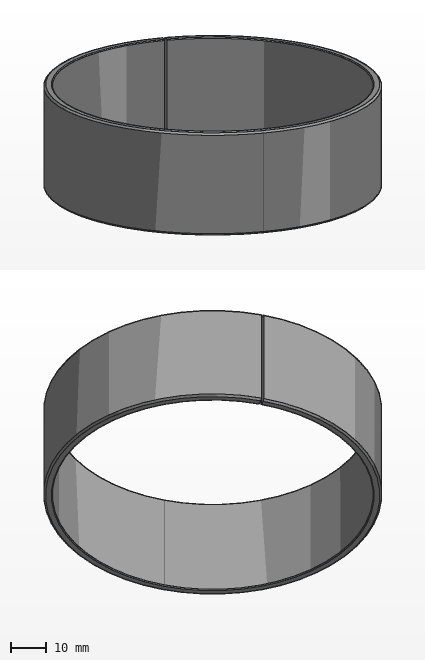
import cadquery as cq

outer_diameter = 95.0
wall = 2.5
width = 30.0
gap = 0.7
outer_chamfer = 0.6
inner_chamfer = 0.3

outer_radius = outer_diameter / 2
inner_radius = outer_radius - wall
half_width = width / 2

section = [
    (inner_radius + inner_chamfer, -half_width),
    (outer_radius - outer_chamfer, -half_width),
    (outer_radius, -half_width + outer_chamfer),
    (outer_radius, half_width - outer_chamfer),
    (outer_radius - outer_chamfer, half_width),
    (inner_radius + inner_chamfer, half_width),
    (inner_radius, half_width - inner_chamfer),
    (inner_radius, -half_width + inner_chamfer),
]
ring = cq.Workplane("XZ").polyline(section).close().revolve(360, (0, 0), (0, 1))

cutter_depth = 4 * wall
cutter_height = 2 * width
gap_cutter = cq.Workplane("XY").box(cutter_depth, gap, cutter_height).translate((-outer_radius, gap / 2, 0))

result = ring.cut(gap_cutter)